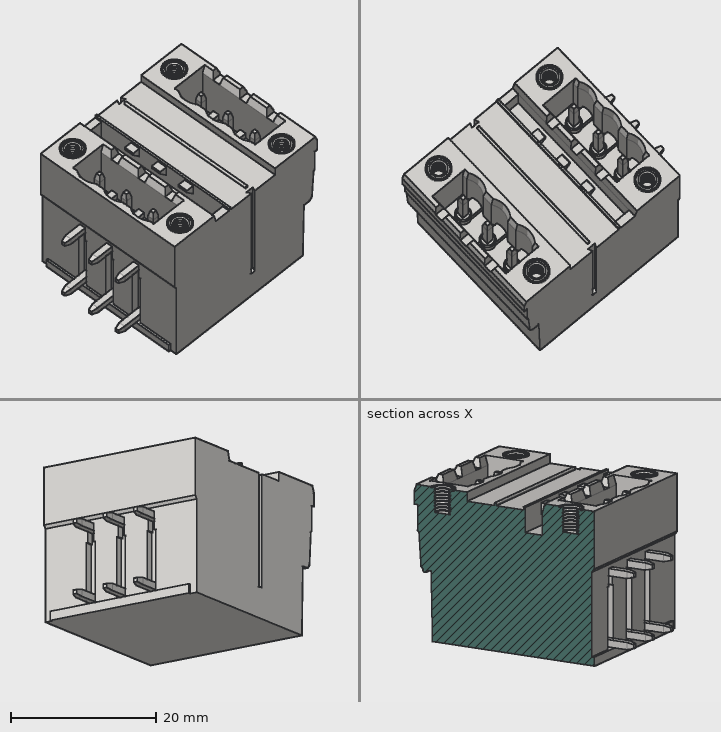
import cadquery as cq

width = 25.4
height = 22.2
body_depth = 28.7
pitch = 5.1
row_spacing = 20.4
pin_xs = [-pitch, 0, pitch]
insert_xs = [-2 * pitch, 2 * pitch]
front_row_y = 3.77
row_ys = [front_row_y, front_row_y + row_spacing]
overlap = 0.15

deck_z = 20.85
front_recess = 0.35
recess_top_z = 13.43
recess_edge_z = 13.9
front_block_y = 8.3
rear_block_y = 20.2
block_slope = 0.4
rear_lip_y = 28.18
rear_lip_z = 19.25
rear_bevel_z = 21.22
rear_taper_z = 15.62
rear_taper_bevel = 0.23
rear_foot_y = 27.63
rear_foot_z = 10.55
foot_bevel_y = 27.18
rear_step_z = 10.05
rear_step_y = 26.02
rear_bottom_y = 25.8

socket_width = 15.3
socket_floor_z = 13.7
rim_flare = 0.42
socket_front = -2.2
socket_rear = 3.03
scallop_radius = 2.77
gap_floor_width = 1.2
gap_top_width = 1.95
gap_length = 2.9
collar_radius = 1.15
collar_height = 1.3
collar_bevel = 0.2
floor_rib_height = 0.95
front_rib_width = 2.03
rear_rib_width = 1.05

pin_size = 1.03
pin_tip_size = 0.58
pin_tip_length = 1.0
pin_reach = 3.5
lower_pin_z = 2.15
upper_pin_z = lower_pin_z + 2 * pitch

insert_radius = 1.85
knurl_inner_radius = 1.58
knurl_count = 32
knurl_width = 0.15
knurl_depth = 0.15
thread_major_radius = 1.3
thread_minor_radius = 1.0
thread_pitch = 0.45
thread_turns = 8

bar_half_width = 11.5
ridge_y = 15.75
ridge_width = 0.42
ridge_height = 0.4
lip_y = 10.95
lip_width = 0.35
lip_height = 0.4
trough_depth = 3.22
gusset_width = 1.6
gusset_reach = 1.25
gusset_front_height = 0.4
dovetail_mouth = 0.7
dovetail_back = 1.3
dovetail_depth = 0.65
dovetail_bottom_z = 4.5

groove_width = 1.45
groove_top_z = 10.25
groove_depth = 1.13
ledge_height = 1.32
ledge_half_width = 11.62
foot_bead_y = 26.98
foot_bead_radius = 0.32


def box(x0, x1, y0, y1, z0, z1):
    """Box between opposite corners."""
    return cq.Workplane("XY").box(x1 - x0, y1 - y0, z1 - z0, centered=False).translate((x0, y0, z0))


def prism_along_x(points, half_length):
    """Closed Y-Z outline extruded symmetrically about X = 0."""
    return cq.Workplane("YZ").polyline(points).close().extrude(half_length, both=True)


def housing():
    """Side profile of the body: two raised blocks with the lower deck between them."""
    return prism_along_x([
        (front_recess, 0),
        (front_recess, recess_top_z),
        (0, recess_edge_z),
        (0, height),
        (front_block_y - block_slope, height),
        (front_block_y, deck_z),
        (rear_block_y, deck_z),
        (rear_block_y, height),
        (body_depth - block_slope, height),
        (body_depth, rear_bevel_z),
        (body_depth, rear_lip_z),
        (rear_lip_y, rear_lip_z),
        (rear_lip_y, rear_taper_z),
        (rear_lip_y - rear_taper_bevel, rear_taper_z - rear_taper_bevel),
        (rear_foot_y, rear_foot_z),
        (foot_bevel_y, rear_step_z),
        (rear_step_y, rear_step_z),
        (rear_bottom_y, 0),
    ], width / 2)


def socket_cavity(row_y):
    """Pocket with sloped rim, scalloped front wall and a tapered gap behind each contact."""
    front = row_y + socket_front
    rear = row_y + socket_rear
    cavity = prism_along_x([
        (front, socket_floor_z),
        (rear, socket_floor_z),
        (rear, deck_z),
        (rear + rim_flare, height),
        (front - rim_flare, height),
        (front, deck_z),
    ], socket_width / 2)
    for x in pin_xs:
        scallop = (
            cq.Workplane("XZ", origin=(x, row_y, 0))
            .moveTo(0, socket_floor_z)
            .lineTo(scallop_radius, socket_floor_z)
            .lineTo(scallop_radius, deck_z)
            .lineTo(scallop_radius + rim_flare, height)
            .lineTo(0, height)
            .close()
            .revolve(360, (0, 0, 0), (0, 1, 0))
        )
        cavity = cavity.union(scallop)
    side_limit = box(-socket_width / 2, socket_width / 2, 0, body_depth, 0, height)
    cavity = cavity.intersect(side_limit)
    for x in pin_xs:
        gap = (
            cq.Workplane("XZ", origin=(x, rear - overlap, 0))
            .moveTo(-gap_floor_width / 2, deck_z)
            .lineTo(gap_floor_width / 2, deck_z)
            .lineTo(gap_top_width / 2, height)
            .lineTo(-gap_top_width / 2, height)
            .close()
            .extrude(-gap_length)
        )
        cavity = cavity.union(gap)
    return cavity


def pin(length):
    """Square contact along +Z with its tapered tip ending at Z = length."""
    shank_length = length - pin_tip_length
    return (
        cq.Workplane("XY").rect(pin_size, pin_size).extrude(shank_length)
        .faces(">Z").workplane().rect(pin_size, pin_size)
        .workplane(offset=pin_tip_length).rect(pin_tip_size, pin_tip_size)
        .loft(combine=True)
    )


def socket_contact(x, row_y):
    """Contact standing on a round collar, with low ribs to both socket walls."""
    base_z = socket_floor_z - overlap
    rib_top = socket_floor_z + floor_rib_height
    front_half = front_rib_width / 2
    rear_half = rear_rib_width / 2
    front_end = row_y - scallop_radius - overlap
    rear_end = row_y + socket_rear + overlap
    collar = (
        cq.Workplane("XY").circle(collar_radius).extrude(collar_height + overlap)
        .faces(">Z").chamfer(collar_bevel)
    )
    post = collar.union(pin(deck_z - base_z)).translate((x, row_y, base_z))
    front_rib = box(x - front_half, x + front_half, front_end, row_y, base_z, rib_top)
    rear_rib = box(x - rear_half, x + rear_half, row_y, rear_end, base_z, rib_top)
    return post.union(front_rib).union(rear_rib)


def front_pin(x, z):
    """Solder pin leaving the front face toward -Y."""
    root_y = front_recess + groove_depth + overlap
    return pin(root_y + pin_reach).rotate((0, 0, 0), (1, 0, 0), 90).translate((x, root_y, z))


def front_groove(x):
    """Vertical groove behind a pair of solder pins, narrower around the upper pin."""
    back = front_recess + groove_depth
    wide = box(x - groove_width / 2, x + groove_width / 2, 0, back, ledge_height, groove_top_z)
    narrow = box(x - pin_size / 2, x + pin_size / 2, 0, back, groove_top_z, upper_pin_z)
    return wide.union(narrow)


def threaded_bore():
    """Bore with ring-shaped thread grooves, its mouth at Z = 0."""
    profile = cq.Workplane("XZ").lineTo(thread_major_radius, 0)
    for turn in range(thread_turns):
        top = -turn * thread_pitch
        profile = profile.lineTo(thread_minor_radius, top - thread_pitch / 2)
        profile = profile.lineTo(thread_major_radius, top - thread_pitch)
    return profile.lineTo(0, -thread_turns * thread_pitch).close().revolve(360, (0, 0, 0), (0, 1, 0))


def knurl():
    """Ring of short radial notches around an insert, open at Z = 0."""
    mid_radius = (insert_radius + knurl_inner_radius) / 2
    return (
        cq.Workplane("XY").polarArray(mid_radius, 0, 360, knurl_count)
        .rect(insert_radius - knurl_inner_radius, knurl_width).extrude(-knurl_depth)
    )


def deck_ridge():
    """Round-topped bar along the middle of the deck."""
    half = ridge_width / 2
    shoulder_z = deck_z + ridge_height - half
    return (
        cq.Workplane("YZ")
        .moveTo(ridge_y - half, deck_z - overlap)
        .lineTo(ridge_y - half, shoulder_z)
        .threePointArc((ridge_y, shoulder_z + half), (ridge_y + half, shoulder_z))
        .lineTo(ridge_y + half, deck_z - overlap)
        .close()
        .extrude(bar_half_width, both=True)
    )


def deck_lip():
    """Upright lip along the rear edge of the trough."""
    return box(-width / 2, width / 2, lip_y, lip_y + lip_width, deck_z - overlap, deck_z + lip_height)


def trough_gusset(x):
    """Bracket under the lip with a sloping underside."""
    tip_y = lip_y - gusset_reach
    return prism_along_x([
        (lip_y + overlap, deck_z),
        (tip_y, deck_z),
        (tip_y, deck_z - gusset_front_height),
        (lip_y, deck_z - gusset_front_height - gusset_reach),
        (lip_y + overlap, deck_z - gusset_front_height - gusset_reach),
    ], gusset_width / 2).translate((x, 0, 0))


def dovetail_slot(side):
    """Vertical undercut slot in one X side; side is -1 or 1."""
    outer = side * width / 2
    inner = outer - side * dovetail_depth
    return (
        cq.Workplane("XY", origin=(0, 0, dovetail_bottom_z))
        .polyline([
            (outer, ridge_y - dovetail_mouth / 2),
            (outer, ridge_y + dovetail_mouth / 2),
            (inner, ridge_y + dovetail_back / 2),
            (inner, ridge_y - dovetail_back / 2),
        ])
        .close()
        .extrude(height - dovetail_bottom_z)
    )


body = housing()
for row in row_ys:
    body = body.cut(socket_cavity(row))
body = body.cut(box(-bar_half_width, bar_half_width, front_block_y, lip_y, deck_z - trough_depth, deck_z))
for side in (-1, 1):
    body = body.cut(dovetail_slot(side))
for pin_x in pin_xs:
    body = body.cut(front_groove(pin_x))

insert_pocket = threaded_bore().union(knurl())
for row in row_ys:
    for insert_x in insert_xs:
        body = body.cut(insert_pocket.translate((insert_x, row, height)))

body = body.union(deck_ridge())
body = body.union(deck_lip())
body = body.union(box(-ledge_half_width, ledge_half_width, 0, front_recess + overlap, 0, ledge_height))
foot_bead = cq.Workplane("YZ", origin=(0, foot_bead_y, rear_step_z)).circle(foot_bead_radius)
body = body.union(foot_bead.extrude(bar_half_width, both=True))

for pin_x in pin_xs:
    body = body.union(trough_gusset(pin_x))
    for row in row_ys:
        body = body.union(socket_contact(pin_x, row))
    for pin_z in (lower_pin_z, upper_pin_z):
        body = body.union(front_pin(pin_x, pin_z))

result = body